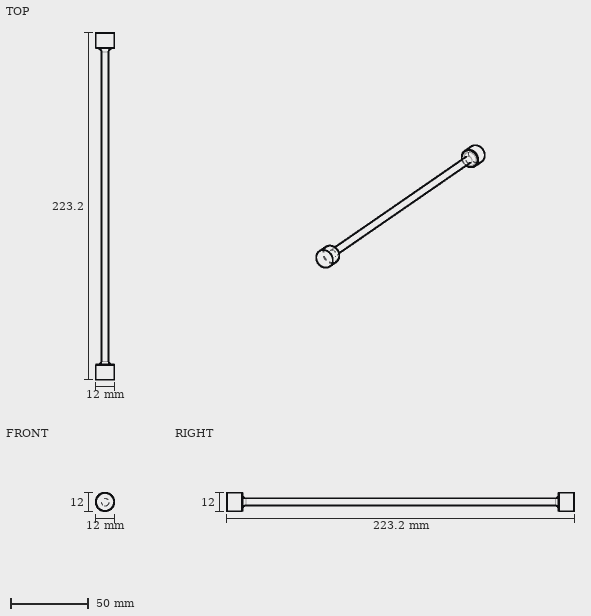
import cadquery as cq

total_length = 223.24
head_diameter = 12.0
head_length = 10.0
rod_diameter = 4.8
root_fillet_radius = 2.0
rim_chamfer = 0.4

head_outer_face = total_length / 2
head_inner_face = head_outer_face - head_length


def make_rod():
    """Plain round rod along Y, spanning the gap between the two heads."""
    return (
        cq.Workplane("XZ")
        .circle(rod_diameter / 2)
        .extrude(head_inner_face, both=True)
    )


def make_head():
    """Cylindrical head at the +Y end, chamfered on the rim that faces the rod."""
    return (
        cq.Workplane("XZ", origin=(0, head_outer_face, 0))
        .circle(head_diameter / 2)
        .extrude(head_length)
        .faces("<Y")
        .edges()
        .chamfer(rim_chamfer)
    )


def fillet_rod_roots(body):
    """Round the inside corner where the rod meets each head."""
    reach = rod_diameter / 2 + root_fillet_radius
    root_zone = cq.selectors.BoxSelector(
        (-reach, -head_inner_face - rim_chamfer / 2, -reach),
        (reach, head_inner_face + rim_chamfer / 2, reach),
        boundingbox=True,
    )
    return body.edges("%CIRCLE").edges(root_zone).fillet(root_fillet_radius)


head = make_head()
dumbbell = make_rod().union(head).union(head.mirror("XZ")).clean()
result = fillet_rod_roots(dumbbell)